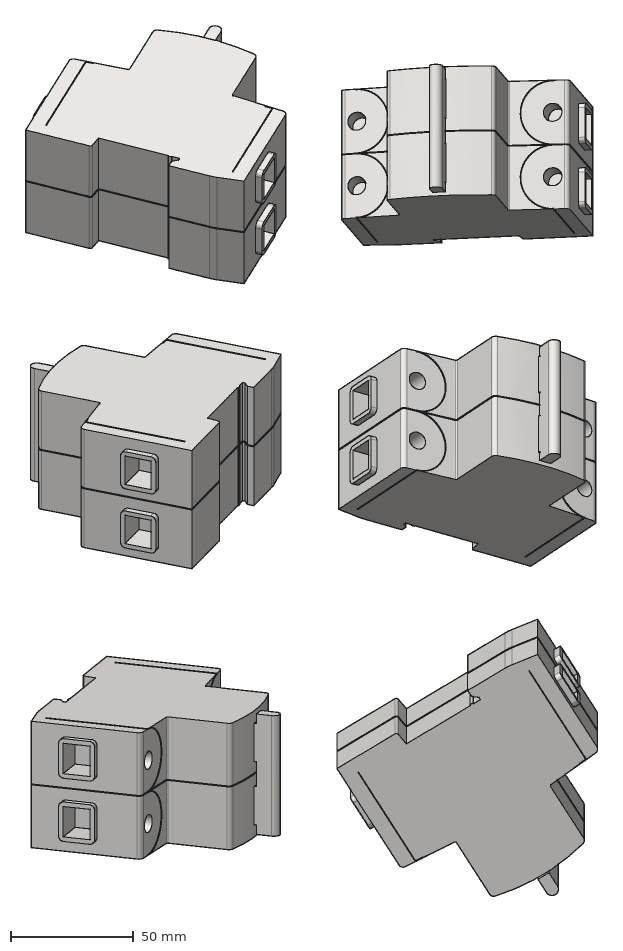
import cadquery as cq

body_width = 95.1
stack_height = 54.0
pole_count = 2
pole_height = stack_height / pole_count
half_width = body_width / 2

tower_width = 45.2
tower_top = 82.5
tower_edge = 79.6
shoulder_inner = 51.8
shoulder_outer = 49.9
outer_corner_radius = 2.0
inner_corner_radius = 0.6

recess_depth = 6.0
recess_left_foot = -18.7
recess_left_root = -17.9
recess_lip = 15.3
recess_right_root = 17.6
lip_height = 2.9
undercut_height = 4.9
recess_foot_radius = 1.1
bump_left = 12.8
bump_right = 14.3
bump_depth = 0.4
foot_slope_start = 34.8
foot_slope_rise = 2.0
foot_slope_radius = 20.1

overall_width = 100.6
collar_length = 15.7
collar_height = 16.9
collar_center_y = 22.7
collar_corner_radius = 2.2
socket_length = 11.7
socket_height = 13.0
socket_depth = 14.1

screw_hole_diameter = 7.5
screw_hole_x = 40.7
screw_hole_depth = 12.1

toggle_thickness = 5.3
toggle_top = 92.7
toggle_underside = 83.4
toggle_height = 51.5
toggle_leg_height = 16.4
toggle_leg_root = 80.5

pole_joint_width = 0.3
cap_joint_width = 0.2
groove_depth = 0.3
cap_joint_x = 40.9

pole_centers = [(i - (pole_count - 1) / 2) * pole_height for i in range(pole_count)]


def box(x_size, y_range, z_size, center_x=0, center_z=0):
    """Block spanning y_range, centred in X and Z on the given point."""
    y_start, y_end = y_range
    return cq.Workplane("XY").box(x_size, y_end - y_start, z_size).translate(
        (center_x, (y_start + y_end) / 2, center_z)
    )


def round_edges(solid, points, radius):
    """Fillet the edges parallel to Z that pass through the given XY points."""
    for x, y in points:
        solid = solid.edges(cq.selectors.NearestToPointSelector((x, y, 0))).fillet(radius)
    return solid


def housing():
    """Stepped housing with the rail recess, extruded over all poles."""
    half_tower = tower_width / 2
    solid = (
        cq.Workplane("XY")
        .workplane(offset=-stack_height / 2)
        .moveTo(-half_width, 0)
        .lineTo(recess_left_foot, 0)
        .lineTo(recess_left_root, recess_depth)
        .lineTo(bump_left, recess_depth)
        .lineTo(bump_left, recess_depth - bump_depth)
        .lineTo(bump_right, recess_depth - bump_depth)
        .lineTo(bump_right, recess_depth)
        .lineTo(recess_right_root, recess_depth)
        .lineTo(recess_right_root, undercut_height)
        .lineTo(recess_lip, lip_height)
        .lineTo(recess_lip, 0)
        .lineTo(foot_slope_start, 0)
        .lineTo(half_width, foot_slope_rise)
        .lineTo(half_width, shoulder_outer)
        .lineTo(half_tower, shoulder_inner)
        .lineTo(half_tower, tower_edge)
        .threePointArc((0, tower_top), (-half_tower, tower_edge))
        .lineTo(-half_tower, shoulder_inner)
        .lineTo(-half_width, shoulder_outer)
        .close()
        .extrude(stack_height)
    )
    outer_corners = [
        (side * x, y)
        for side in (-1, 1)
        for x, y in ((half_tower, tower_edge), (half_width, shoulder_outer))
    ]
    inner_corners = [(side * half_tower, shoulder_inner) for side in (-1, 1)]
    solid = round_edges(solid, outer_corners, outer_corner_radius)
    solid = round_edges(solid, inner_corners, inner_corner_radius)
    solid = round_edges(solid, [(recess_left_foot, 0)], recess_foot_radius)
    return round_edges(solid, [(foot_slope_start, 0)], foot_slope_radius)


def pole_joint(solid):
    """Shallow groove all round the housing where two poles meet."""
    slab = solid.intersect(box(body_width, (0, tower_top), pole_joint_width))
    core_wire = slab.faces(">Z").val().outerWire().offset2D(-groove_depth, "intersection")[0]
    core = cq.Workplane("XY").add(core_wire).toPending().extrude(-pole_joint_width)
    return slab.cut(core)


def cap_face_joint(side, face):
    """Straight groove in a flat face where an end cap meets the housing."""
    y_range = (recess_depth, shoulder_inner)
    center_z = face * stack_height / 2
    return box(cap_joint_width, y_range, 2 * groove_depth, side * cap_joint_x, center_z)


def cap_shoulder_joint(solid, side, center_z):
    """Half-round groove in a shoulder, curving inward round the screw hole."""
    outer_radius = pole_height / 2
    ring = (
        cq.Workplane("XZ", origin=(side * cap_joint_x, shoulder_inner, center_z))
        .circle(outer_radius)
        .circle(outer_radius - cap_joint_width)
        .extrude(shoulder_inner - collar_center_y)
    )
    inner_half = box(
        outer_radius, (0, tower_top), pole_height, side * (cap_joint_x - outer_radius / 2), center_z
    )
    lowered = solid.translate((0, -groove_depth, 0))
    return ring.intersect(inner_half).cut(lowered)


def screw_hole(side, center_z):
    """Round hole going down into a shoulder."""
    return (
        cq.Workplane("XZ", origin=(side * screw_hole_x, shoulder_inner, center_z))
        .circle(screw_hole_diameter / 2)
        .extrude(screw_hole_depth)
    )


def collar(center_z):
    """Collars on both ends as one bar passing through the housing."""
    return (
        cq.Workplane("YZ", origin=(-overall_width / 2, collar_center_y, center_z))
        .rect(collar_length, collar_height)
        .extrude(overall_width)
        .edges("|X")
        .fillet(collar_corner_radius)
    )


def socket(side, center_z):
    """Rectangular wire opening inside a collar."""
    y_range = (collar_center_y - socket_length / 2, collar_center_y + socket_length / 2)
    center_x = side * (overall_width - socket_depth) / 2
    return box(socket_depth, y_range, socket_height, center_x, center_z)


def toggle():
    """Round-nosed bar carried by one leg on each pole."""
    half_thickness = toggle_thickness / 2
    nose_start = toggle_top - half_thickness
    bar = (
        cq.Workplane("XY", origin=(0, 0, -toggle_height / 2))
        .moveTo(-half_thickness, toggle_underside)
        .lineTo(half_thickness, toggle_underside)
        .lineTo(half_thickness, nose_start)
        .threePointArc((0, toggle_top), (-half_thickness, nose_start))
        .close()
        .extrude(toggle_height)
    )
    leg_range = (toggle_leg_root, toggle_underside)
    for center_z in pole_centers:
        leg = box(toggle_thickness, leg_range, toggle_leg_height, 0, center_z)
        bar = bar.union(leg)
    return bar


body = housing()
result = body.cut(pole_joint(body))
for side in (-1, 1):
    for face in (-1, 1):
        result = result.cut(cap_face_joint(side, face))
for center_z in pole_centers:
    result = result.union(collar(center_z))
    for side in (-1, 1):
        result = result.cut(cap_shoulder_joint(body, side, center_z))
        result = result.cut(socket(side, center_z))
        result = result.cut(screw_hole(side, center_z))
result = result.union(toggle())